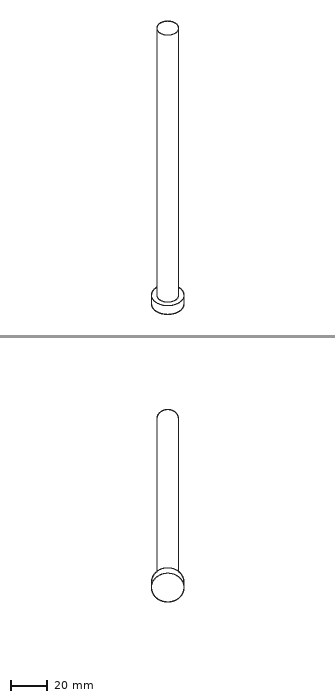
import cadquery as cq

total_length = 200.0
head_diameter = 18.0
head_thickness = 6.5
shaft_diameter = 12.0

head = cq.Workplane("XY").circle(head_diameter / 2).extrude(head_thickness)
shaft = cq.Workplane("XY").circle(shaft_diameter / 2).extrude(total_length)

result = head.union(shaft)